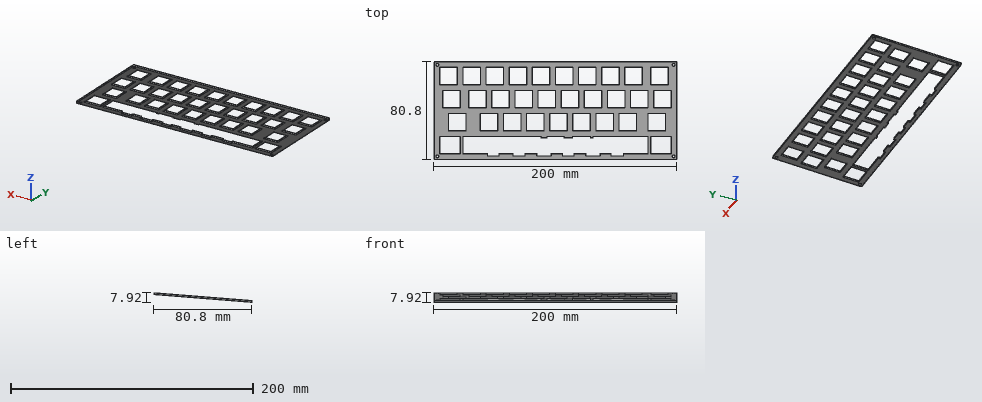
import cadquery as cq

KEY_UNIT = 19.05
MARGIN_UNITS = 0.125
SWITCH_SIZE = 14.2
THICKNESS = 1.5
TILT_DEGREES = 4.55
CORNER_RADIUS = 1.0
SCREW_DIAMETER = 2.2
SCREW_INSET = 2.65

KEY_ROWS = [
    [1.0] * 9 + [1.25],
    [1.25] + [1.0] * 9,
    [1.75] + [1.0] * 7 + [1.5],
]
ROW_COUNT = len(KEY_ROWS) + 1
ROW_UNITS = sum(KEY_ROWS[0])
MARGIN = MARGIN_UNITS * KEY_UNIT
WIDTH = ROW_UNITS * KEY_UNIT + 2 * MARGIN
DEPTH = ROW_COUNT * KEY_UNIT + 2 * MARGIN

CORNER_KEY_UNITS = (1.0, 1.25)
SECOND_KEY_CENTER_UNITS = 1.5
SPACEBAR_HALF_WIDTH = WIDTH / 2 - MARGIN - SECOND_KEY_CENTER_UNITS * KEY_UNIT + SWITCH_SIZE / 2

NOTCH_DEPTH = 1.85
NOTCH_SPANS = [
    (-56.0, -46.6),
    (-34.9, -25.3),
    (-15.3, -3.6),
    (5.8, 15.1),
    (25.1, 36.8),
    (45.8, 56.0),
]
TAB_DEPTH = 1.1
TAB_SPANS = [
    (-11.9, -7.0),
    (7.0, 14.1),
    (28.7, 31.0),
]


def row_center_y(row):
    """Y of a key row; row 0 is the farthest back."""
    return DEPTH / 2 - MARGIN - (row + 0.5) * KEY_UNIT


def box_cutter(left, right, bottom, top):
    """Rectangular block as tall as the plate is thick."""
    return (
        cq.Workplane("XY")
        .center((left + right) / 2, (bottom + top) / 2)
        .rect(right - left, top - bottom)
        .extrude(THICKNESS)
    )


def make_plate():
    screw_x = WIDTH / 2 - SCREW_INSET
    screw_y = DEPTH / 2 - SCREW_INSET
    screw_points = [(sx * screw_x, sy * screw_y) for sx in (-1, 1) for sy in (-1, 1)]
    return (
        cq.Workplane("XY")
        .rect(WIDTH, DEPTH)
        .extrude(THICKNESS)
        .edges("|Z")
        .fillet(CORNER_RADIUS)
        .faces(">Z")
        .workplane(origin=(0, 0, THICKNESS))
        .pushPoints(screw_points)
        .hole(SCREW_DIAMETER)
    )


def switch_centers():
    """Centers of the square switch holes in the upper rows."""
    centers = []
    for row, key_widths in enumerate(KEY_ROWS):
        left = -WIDTH / 2 + MARGIN
        for key_width in key_widths:
            centers.append((left + key_width * KEY_UNIT / 2, row_center_y(row)))
            left += key_width * KEY_UNIT
    return centers


def cut_switch_holes(plate):
    cutters = (
        cq.Workplane("XY")
        .pushPoints(switch_centers())
        .rect(SWITCH_SIZE, SWITCH_SIZE)
        .extrude(THICKNESS)
    )
    return plate.cut(cutters)


def cut_bottom_row(plate):
    top = row_center_y(ROW_COUNT - 1) + SWITCH_SIZE / 2
    bottom = top - SWITCH_SIZE

    narrow_key, wide_key = CORNER_KEY_UNITS
    outer = WIDTH / 2 - MARGIN - narrow_key * KEY_UNIT / 2 + SWITCH_SIZE / 2
    inner = WIDTH / 2 - MARGIN - wide_key * KEY_UNIT / 2 - SWITCH_SIZE / 2
    left_opening = box_cutter(-outer, -inner, bottom, top)
    right_opening = left_opening.mirror("YZ")
    plate = plate.cut(left_opening).cut(right_opening)

    opening = box_cutter(-SPACEBAR_HALF_WIDTH, SPACEBAR_HALF_WIDTH, bottom, top)
    for left, right in TAB_SPANS:
        opening = opening.cut(box_cutter(left, right, top - TAB_DEPTH, top))
    for left, right in NOTCH_SPANS:
        opening = opening.union(box_cutter(left, right, bottom - NOTCH_DEPTH, bottom))
    return plate.cut(opening)


plate = cut_bottom_row(cut_switch_holes(make_plate()))

result = plate.rotate((0, 0, 0), (1, 0, 0), TILT_DEGREES)